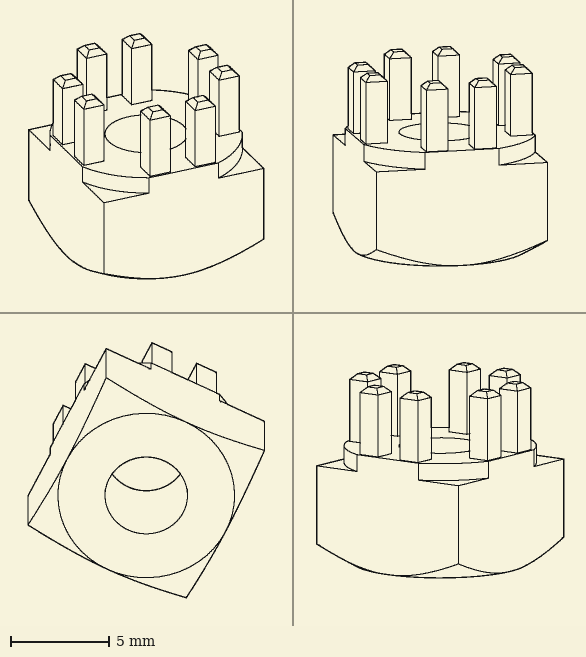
import cadquery as cq
import math

side = 9.0
total_height = 9.5
pin_height = 3.5
step_height = 0.87
disc_radius = 4.9
bore_radius = 2.1
body_height = total_height - pin_height
block_height = body_height - step_height

cone_angle = 30.0

pin_width = 1.14
tip_height = 0.285
tip_width = 0.57
pin_pitch = 2.54
inner_offset = pin_pitch / 2
outer_offset = 1.5 * pin_pitch


def make_body():
    """Square block carrying a disc trimmed to the square."""
    square = cq.Workplane("XY").rect(side, side).extrude(body_height)
    block = cq.Workplane("XY").rect(side, side).extrude(block_height)
    disc = cq.Workplane("XY").circle(disc_radius).extrude(body_height)
    return block.union(disc.intersect(square))


def make_cone_envelope():
    """Solid of revolution that bevels the lower corners of the block."""
    inner_radius = side / 2
    outer_radius = side
    cone_height = (outer_radius - inner_radius) * math.tan(math.radians(cone_angle))
    return (
        cq.Workplane("XZ")
        .moveTo(0, 0)
        .lineTo(inner_radius, 0)
        .lineTo(outer_radius, cone_height)
        .lineTo(outer_radius, total_height)
        .lineTo(0, total_height)
        .close()
        .revolve(360, (0, 0, 0), (0, 1, 0))
    )


def make_pin(x, y):
    """Square pin standing on the disc, tapering to a small flat tip."""
    shaft_height = pin_height - tip_height
    shaft = cq.Workplane("XY").rect(pin_width, pin_width).extrude(shaft_height)
    tip = (
        cq.Workplane("XY")
        .workplane(offset=shaft_height)
        .rect(pin_width, pin_width)
        .workplane(offset=tip_height)
        .rect(tip_width, tip_width)
        .loft(ruled=True)
    )
    return shaft.union(tip).translate((x, y, body_height))


bore = cq.Workplane("XY").circle(bore_radius).extrude(body_height)
result = make_body().intersect(make_cone_envelope()).cut(bore)

for along in (-inner_offset, inner_offset):
    for across in (-outer_offset, outer_offset):
        result = result.union(make_pin(along, across))
        result = result.union(make_pin(across, along))